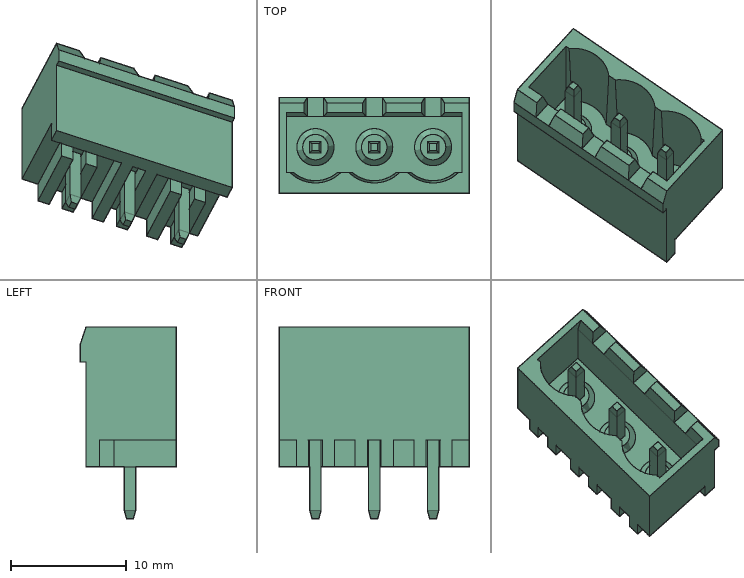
import cadquery as cq


pin_pitch = 5.08
pin_xs = [-pin_pitch, 0, pin_pitch]
housing_length = 16.44
housing_depth = 7.8
housing_height = 12.1

lip_overhang = 0.5
lip_bevel_drop = 1.5
lip_underside_drop = 3.05

cavity_length = 15.2
cavity_front_y = 1.8
cavity_rear_y = 6.63
cavity_floor_z = 3.5
cavity_depth = housing_height - cavity_floor_z
scallop_top_radius = 3.1
scallop_floor_radius = 2.9

rear_bevel_width = 0.36
rear_bevel_drop = 1.5
notch_drop = rear_bevel_drop
notch_floor_width = 1.4
notch_top_width = 2.0

foot_height = 2.3
foot_pair_width = 3.3
foot_gap = 1.2
foot_rear_y = 5.38

pin_y = 4.0
pin_width = 1.0
pin_tip_width = 0.6
pin_taper_length = 0.75
pin_bottom_z = -4.5
pin_top_z = housing_height - 1.1
collar_diameter = 3.2
collar_top_diameter = 2.2
collar_height = 0.5


def box(x_min, x_max, y_min, y_max, z_min, z_max):
    size = (x_max - x_min, y_max - y_min, z_max - z_min)
    return cq.Workplane("XY").box(*size, centered=False).translate((x_min, y_min, z_min))


def extrude_along_x(side_profile, length):
    """Extrude a closed (y, z) outline symmetrically about X = 0."""
    return cq.Workplane("YZ").polyline(side_profile).close().extrude(length / 2, both=True)


def make_housing():
    lip_y = housing_depth + lip_overhang
    lip_underside_z = housing_height - lip_underside_drop
    side_profile = [
        (0, 0),
        (housing_depth, 0),
        (housing_depth, lip_underside_z),
        (lip_y, lip_underside_z),
        (lip_y, housing_height - lip_bevel_drop),
        (housing_depth, housing_height),
        (0, housing_height),
    ]
    return extrude_along_x(side_profile, housing_length)


def make_cavity():
    """Rectangular plug cavity, widened along the top of the rear wall by a bevel."""
    side_profile = [
        (cavity_front_y, cavity_floor_z),
        (cavity_rear_y, cavity_floor_z),
        (cavity_rear_y, housing_height - rear_bevel_drop),
        (cavity_rear_y + rear_bevel_width, housing_height),
        (cavity_front_y, housing_height),
    ]
    return extrude_along_x(side_profile, cavity_length)


def make_scallop(x):
    """Conical front recess of the cavity, concentric with one pin."""
    scallop = (
        cq.Workplane("XY", origin=(x, pin_y, cavity_floor_z))
        .circle(scallop_floor_radius)
        .workplane(offset=cavity_depth)
        .circle(scallop_top_radius)
        .loft(ruled=True)
    )
    front_half = box(
        x - scallop_top_radius, x + scallop_top_radius, 0, pin_y, cavity_floor_z, housing_height
    )
    inside_cavity = box(
        -cavity_length / 2, cavity_length / 2, 0, pin_y, cavity_floor_z, housing_height
    )
    return scallop.intersect(front_half).intersect(inside_cavity)


def make_notch(x):
    """Coding notch with sloping sides through the rear wall and the lip."""
    notch_floor_z = housing_height - notch_drop
    outline = [
        (x - notch_floor_width / 2, notch_floor_z),
        (x + notch_floor_width / 2, notch_floor_z),
        (x + notch_top_width / 2, housing_height),
        (x - notch_top_width / 2, housing_height),
    ]
    notch_length = housing_depth + lip_overhang - pin_y
    return cq.Workplane("XZ", origin=(0, pin_y, 0)).polyline(outline).close().extrude(-notch_length)


def make_foot_pair(x):
    """Two feet, one on each side of a pin; the middle pair runs back to the rear wall."""
    rear_y = cavity_rear_y if x == 0 else foot_rear_y
    pair = box(x - foot_pair_width / 2, x + foot_pair_width / 2, 0, rear_y, 0, foot_height)
    gap = box(x - foot_gap / 2, x + foot_gap / 2, 0, rear_y, 0, foot_height)
    return pair.cut(gap)


def make_pin_taper(x, base_z, direction):
    """Tapered pin end pointing up (direction 1) or down (direction -1)."""
    return (
        cq.Workplane("XY", origin=(x, pin_y, base_z))
        .rect(pin_width, pin_width)
        .workplane(offset=direction * pin_taper_length)
        .rect(pin_tip_width, pin_tip_width)
        .loft(ruled=True)
    )


def make_pin(x):
    shank_bottom_z = pin_bottom_z + pin_taper_length
    shank_top_z = pin_top_z - pin_taper_length
    shank = box(
        x - pin_width / 2,
        x + pin_width / 2,
        pin_y - pin_width / 2,
        pin_y + pin_width / 2,
        shank_bottom_z,
        shank_top_z,
    )
    shank = shank.union(make_pin_taper(x, shank_bottom_z, -1))
    return shank.union(make_pin_taper(x, shank_top_z, 1))


def make_collar(x):
    return (
        cq.Workplane("XY", origin=(x, pin_y, cavity_floor_z))
        .circle(collar_diameter / 2)
        .workplane(offset=collar_height)
        .circle(collar_top_diameter / 2)
        .loft(ruled=True)
    )


underside_recess = box(-housing_length / 2, housing_length / 2, 0, cavity_rear_y, 0, foot_height)
result = make_housing().cut(underside_recess).cut(make_cavity())

for pin_x in pin_xs:
    result = result.cut(make_scallop(pin_x)).cut(make_notch(pin_x))

for pin_x in pin_xs:
    result = result.union(make_foot_pair(pin_x))
    result = result.union(make_collar(pin_x))
    result = result.union(make_pin(pin_x))